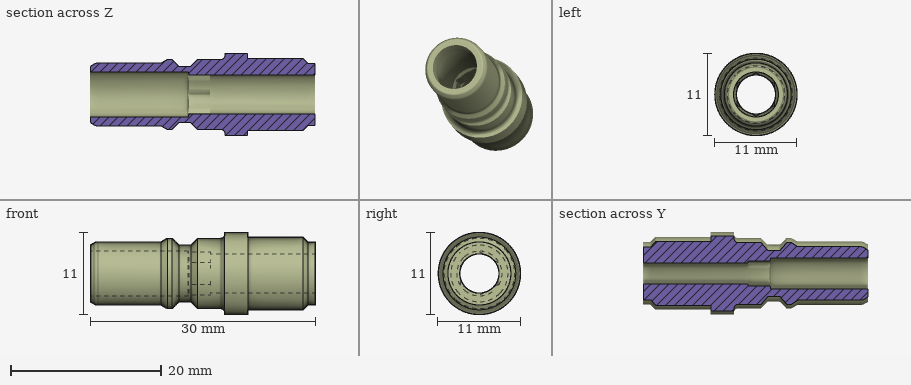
import cadquery as cq
import math

overall_length = 30.0
ridge_foot_x = 9.43
ridge_start_x = 10.25
ridge_end_x = 10.9
neck_start_x = 11.8
neck_end_x = 13.4
collar_start_x = 14.3
flange_start_x = 17.9
flange_end_x = 21.0
rear_cone_start_x = 28.35
rear_cone_end_x = 29.0

tip_radius = 8.45 / 2
ridge_radius = 9.4 / 2
neck_radius = 7.6 / 2
flange_radius = 11.0 / 2
rear_radius = 9.7 / 2
spigot_radius = 8.4 / 2
flange_fillet = 0.5

tip_taper_angle = math.radians(30)
tip_rim_arc_radius = 0.25
tip_blend_arc_radius = 1.0
tip_length = 1.0

entry_bore_radius = 6.0 / 2
entry_bore_depth = 13.0
entry_floor_half_angle = math.radians(70)
through_bore_radius = 5.2 / 2
hexagon_sides = 6
hexagon_across_flats = 5.0
hexagon_depth = 3.0


def on_arc(center_x, center_r, radius, angle):
    """Point on an arc, with the angle measured from the radial direction towards the tip face."""
    return (center_x - radius * math.sin(angle), center_r + radius * math.cos(angle))


def outer_body():
    """Revolve the solid outer shape about the X axis."""
    blend_center = (tip_length, tip_radius - tip_blend_arc_radius)
    taper_end = on_arc(*blend_center, tip_blend_arc_radius, tip_taper_angle)
    blend_middle = on_arc(*blend_center, tip_blend_arc_radius, tip_taper_angle / 2)

    rim_length = tip_rim_arc_radius * (1 - math.sin(tip_taper_angle))
    taper_start_r = taper_end[1] - (taper_end[0] - rim_length) * math.tan(tip_taper_angle)
    taper_start = (rim_length, taper_start_r)
    tip_face_radius = taper_start_r - tip_rim_arc_radius * math.cos(tip_taper_angle)
    rim_middle_angle = (tip_taper_angle + math.pi / 2) / 2
    rim_middle = on_arc(tip_rim_arc_radius, tip_face_radius, tip_rim_arc_radius, rim_middle_angle)

    profile = (
        cq.Workplane("XY")
        .lineTo(0, tip_face_radius)
        .threePointArc(rim_middle, taper_start)
        .lineTo(*taper_end)
        .threePointArc(blend_middle, (tip_length, tip_radius))
        .lineTo(ridge_foot_x, tip_radius)
        .lineTo(ridge_start_x, ridge_radius)
        .lineTo(ridge_end_x, ridge_radius)
        .lineTo(neck_start_x, neck_radius)
        .lineTo(neck_end_x, neck_radius)
        .lineTo(collar_start_x, ridge_radius)
        .lineTo(flange_start_x - flange_fillet, ridge_radius)
        .tangentArcPoint((flange_fillet, flange_fillet), relative=True)
        .lineTo(flange_start_x, flange_radius)
        .lineTo(flange_end_x, flange_radius)
        .lineTo(flange_end_x, rear_radius)
        .lineTo(rear_cone_start_x, rear_radius)
        .lineTo(rear_cone_end_x, spigot_radius)
        .lineTo(overall_length, spigot_radius)
        .lineTo(overall_length, 0)
        .close()
    )
    return profile.revolve(360, (0, 0, 0), (1, 0, 0))


def stepped_bore():
    """Entry bore narrowing through its conical floor to the through bore."""
    floor_length = (entry_bore_radius - through_bore_radius) / math.tan(entry_floor_half_angle)
    profile = (
        cq.Workplane("XY")
        .lineTo(0, entry_bore_radius)
        .lineTo(entry_bore_depth, entry_bore_radius)
        .lineTo(entry_bore_depth + floor_length, through_bore_radius)
        .lineTo(overall_length, through_bore_radius)
        .lineTo(overall_length, 0)
        .close()
    )
    return profile.revolve(360, (0, 0, 0), (1, 0, 0))


def hexagon_socket():
    """Hexagon sunk from the entry bore, with two corners pointing along Z."""
    across_corners = hexagon_across_flats / math.cos(math.pi / hexagon_sides)
    return (
        cq.Workplane("YZ", origin=(entry_bore_depth, 0, 0))
        .transformed(rotate=(0, 0, 90))
        .polygon(hexagon_sides, across_corners)
        .extrude(hexagon_depth)
    )


result = outer_body().cut(stepped_bore()).cut(hexagon_socket())